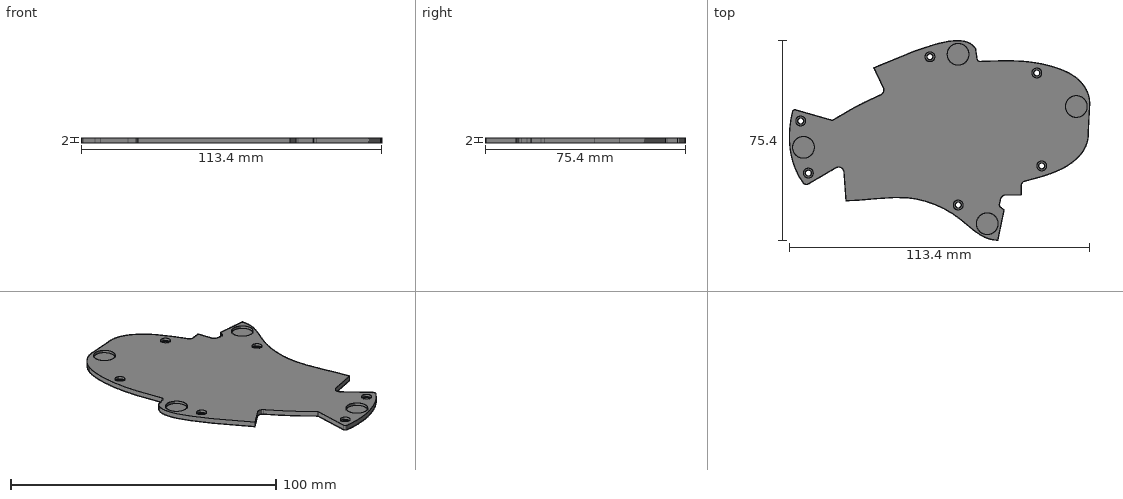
import cadquery as cq

THICKNESS = 2.0

POCKET_DIAMETER = 8.2
POCKET_DEPTH = 1.0
POCKET_CENTRES = [(-51.3, -2.6), (7.0, 32.5), (51.6, 12.8), (18.0, -31.4)]

HOLE_DIAMETER = 2.2
COUNTERBORE_DIAMETER = 3.7
COUNTERBORE_DEPTH = 1.0
HOLE_CENTRES = [
    (-52.35, 7.35),
    (-49.45, -12.3),
    (-3.6, 31.55),
    (36.7, 25.45),
    (38.55, -9.6),
    (7.05, -24.35),
]

DORSAL_TIP = (-24.8, 27.4)
DORSAL_FRONT = (13.65, 34.6)
BACK_START = (14.35, 29.8)
NOSE = (56.64, 12.8)
CHIN = (56.15, 3.4)
THROAT = (30.9, -15.75)
STEP_CORNER = (30.9, -20.6)
STEP_INNER = (23.4, -20.6)
PELVIC_NOTCH = (22.5, -24.7)
PELVIC_FRONT = (24.4, -26.2)
PELVIC_TIP = (22.0, -37.69)
ANAL_TIP = (-35.3, -22.8)
TAIL_ROOT_BOTTOM = (-36.3, -8.7)
TAIL_TIP_BOTTOM = (-50.6, -17.1)
TAIL_TIP_TOP = (-55.2, 11.85)
TAIL_ROOT_TOP = (-40.4, 7.6)
DORSAL_ROOT = (-20.4, 18.0)

DORSAL_CURVE = [(-17.7, 30.4), (-9.5, 33.7), (0.0, 36.7), (7.0, 37.69), (11.0, 36.9)]
BACK_CURVE = [(25.3, 30.15), (34.0, 29.65), (45.3, 27.0), (51.8, 23.5), (54.9, 20.0)]
BELLY_CURVE = [(54.5, -3.5), (48.0, -9.7), (41.2, -12.8)]
PELVIC_CURVE = [(16.2, -36.1), (8.9, -30.6), (3.9, -27.0), (-2.0, -24.1), (-10.9, -21.8), (-20.0, -21.7)]
TAIL_CURVE = [(-55.2, -8.5), (-56.65, 2.0)]
FLANK_CURVE = [(-28.9, 14.1)]
DORSAL_REAR_CURVE = [(-22.4, 22.5)]

CORNER_ROUNDS = [
    (1.0, [BACK_START, TAIL_TIP_TOP, PELVIC_NOTCH]),
    (1.5, [THROAT, TAIL_TIP_BOTTOM]),
    (2.0, [STEP_INNER, TAIL_ROOT_BOTTOM, DORSAL_ROOT]),
    (0.3, [STEP_CORNER]),
]
PICK_SIZE = 0.2


def corner_box(corner):
    """Selector for the vertical edge standing at one outline corner."""
    x, y = corner
    return cq.selectors.BoxSelector(
        (x - PICK_SIZE, y - PICK_SIZE, 0),
        (x + PICK_SIZE, y + PICK_SIZE, THICKNESS),
    )


def make_plate():
    """Extrude the fish outline and round its corners."""
    plate = (
        cq.Workplane("XY")
        .moveTo(*DORSAL_TIP)
        .spline(DORSAL_CURVE + [DORSAL_FRONT], includeCurrent=True)
        .lineTo(*BACK_START)
        .spline(BACK_CURVE + [NOSE], includeCurrent=True)
        .lineTo(*CHIN)
        .spline(BELLY_CURVE + [THROAT], includeCurrent=True)
        .lineTo(*STEP_CORNER)
        .lineTo(*STEP_INNER)
        .lineTo(*PELVIC_NOTCH)
        .lineTo(*PELVIC_FRONT)
        .lineTo(*PELVIC_TIP)
        .spline(PELVIC_CURVE + [ANAL_TIP], includeCurrent=True)
        .lineTo(*TAIL_ROOT_BOTTOM)
        .lineTo(*TAIL_TIP_BOTTOM)
        .spline(TAIL_CURVE + [TAIL_TIP_TOP], includeCurrent=True)
        .lineTo(*TAIL_ROOT_TOP)
        .spline(FLANK_CURVE + [DORSAL_ROOT], includeCurrent=True)
        .spline(DORSAL_REAR_CURVE + [DORSAL_TIP], includeCurrent=True)
        .close()
        .extrude(THICKNESS)
    )
    for radius, corners in CORNER_ROUNDS:
        for corner in corners:
            plate = plate.edges("|Z").edges(corner_box(corner)).fillet(radius)
    return plate


def cut_pockets(plate):
    """Sink the blind magnet pockets into the top face."""
    pockets = (
        cq.Workplane("XY", origin=(0, 0, THICKNESS))
        .pushPoints(POCKET_CENTRES)
        .circle(POCKET_DIAMETER / 2)
        .extrude(-POCKET_DEPTH)
    )
    return plate.cut(pockets)


def cut_screw_holes(plate):
    """Drill the through holes and their counterbores from the top face."""
    return (
        plate.copyWorkplane(cq.Workplane("XY", origin=(0, 0, THICKNESS)))
        .pushPoints(HOLE_CENTRES)
        .cboreHole(HOLE_DIAMETER, COUNTERBORE_DIAMETER, COUNTERBORE_DEPTH)
    )


result = cut_screw_holes(cut_pockets(make_plate()))